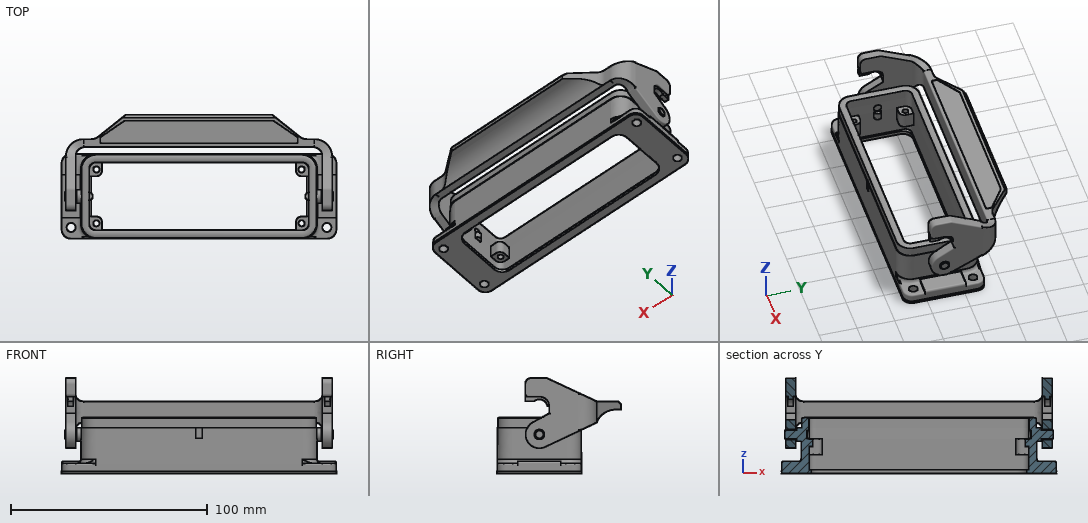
import cadquery as cq
import math


SIDES = (-1, 1)

footprint_length = 140.0
footprint_width = 43.2
flange_height = 5.2
flange_corner_radius = 4.8
flange_edge_radius = 0.85
lip_height = 1.3
lip_width = 0.1
flange_length = footprint_length - 2 * lip_width
flange_width = footprint_width - 2 * lip_width
mount_hole_diameter = 4.5
mount_hole_x = 65.05
mount_hole_y = 15.8
pad_height = 6.4
pad_width = 21.8
pad_edge_radius = 1.15

wall_length = 120.3
wall_draft = 0.5
wall_width = flange_width
wall_corner_radius = 7.6
step_z = 23.2
step_inset = 0.25
rim_z = 28.7
crown_height = 0.5
rim_thickness = 3.8
cove_radius = 2.1
rim_inset = step_inset + (step_z - flange_height) * math.tan(math.radians(wall_draft))
rim_length = wall_length - 2 * rim_inset
rim_width = wall_width - 2 * rim_inset
rim_corner_radius = wall_corner_radius - rim_inset
crown_base_z = rim_z - crown_height

cavity_length = rim_length - 2 * rim_thickness
cavity_width = rim_width - 2 * rim_thickness
cavity_corner_radius = rim_corner_radius - rim_thickness
floor_ledge_z = 2.0
cavity_draft = 1.5
opening_length = 109.4
opening_width = 34.0
opening_corner_radius = 5.5

boss_top_z = 17.6
boss_height = 8.0
boss_inner_x = 49.3
boss_inner_y = 10.2
boss_corner_radius = 2.9
boss_hole_diameter = 3.0
boss_hole_x = 52.2
boss_hole_y = 13.7
tab_diameter = 4.0
tab_height = 3.9
front_slot_width = 3.2
front_slot_height = 5.1
front_slot_depth = 1.0

pivot_z = 19.9
pin_shoulder_diameter = 7.0
pin_shoulder_end_x = 62.3
pin_diameter = 4.8
pin_end_x = 68.35
pin_chamfer = 0.4
pin_recess_diameter = 4.0
pin_recess_depth = 1.0

arm_outer_x = 67.9
arm_thickness = 5.2
arm_inner_x = arm_outer_x - arm_thickness
arm_edge_radius = 0.7
pivot_hole_diameter = 5.1
pivot_end_radius = 7.0
lever_top_z = 48.7
lever_top_back_y = 3.7
lever_top_bend_radius = 2.5
hook_front_y = -7.25
hook_bottom_z = 39.1
hook_top_radius = 3.2
hook_bottom_radius = 1.6
notch_back_y = 5.0
notch_low_z = 30.7
notch_radius = 4.8

tooth_width = 2.8
tooth_bottom_z = 36.7
tooth_arc_radius = 4.1
tooth_arc_z = 33.6

bar_outer_y = 29.2
bar_thickness = 4.15
bar_inner_y = bar_outer_y - bar_thickness
bar_top_z = 36.8
bar_bottom_z = 25.9
bar_edge_radius = 0.6
bend_center_y = 19.95
bend_outer_radius = bar_outer_y - bend_center_y
bend_center_x = arm_outer_x - bend_outer_radius
bend_section_count = 5

handle_tip_y = 41.61
handle_tip_half = 37.2
handle_root_half = 52.7
handle_root_radius = 6.0
handle_tip_bottom_z = 32.5
handle_tip_chamfer = 1.5
handle_arc_start_y = 38.2
handle_arc_mid = (33.6, 31.1)
handle_arc_end = (30.0, 27.6)
panel_depth = 0.3
panel_root_half = 50.3
panel_root_y = 27.0
panel_bend_y = 30.0
panel_tip_half = 38.0
panel_tip_y = 38.4
panel_corner_radius = 0.8


def rounded_block(length, width, radius, z_low, z_high):
    """Upright block with rounded corners, centred on the Z axis."""
    block = cq.Workplane("XY").workplane(offset=z_low).rect(length, width).extrude(z_high - z_low)
    return block.edges("|Z").fillet(radius)


def drafted_block(length, width, radius, z_start, height, draft):
    """Rounded block that narrows by the draft angle away from its start; negative height goes down."""
    outline = cq.Sketch().rect(length, width).vertices().fillet(radius)
    return cq.Workplane("XY", origin=(0, 0, z_start)).placeSketch(outline).extrude(height, taper=draft)


def box_between(x_range, y_range, z_range):
    """Box given by its limits on each axis."""
    size = [abs(high - low) for low, high in (x_range, y_range, z_range)]
    corner = [min(limits) for limits in (x_range, y_range, z_range)]
    return cq.Workplane("XY").box(*size, centered=False).translate(tuple(corner))


def x_cylinder(diameter, x_start, x_end, z):
    """Cylinder along X at Y = 0."""
    return cq.Workplane("YZ", origin=(x_start, 0, z)).circle(diameter / 2).extrude(x_end - x_start)


def rounded_path(length, width, radius, z):
    """Rounded rectangle wire that starts at the middle of its -Y side."""
    x = length / 2
    y = width / 2
    diagonal = radius * (1 - math.sqrt(0.5))
    path = cq.Workplane("XY", origin=(0, 0, z)).moveTo(0, -y).lineTo(x - radius, -y)
    path = path.threePointArc((x - diagonal, -y + diagonal), (x, -y + radius)).lineTo(x, y - radius)
    path = path.threePointArc((x - diagonal, y - diagonal), (x - radius, y)).lineTo(-x + radius, y)
    path = path.threePointArc((-x + diagonal, y - diagonal), (-x, y - radius)).lineTo(-x, -y + radius)
    return path.threePointArc((-x + diagonal, -y + diagonal), (-x + radius, -y)).close()


def make_flange():
    """Mounting plate, rounded along its top edge except where the straight wall stands flush."""
    plate = rounded_block(flange_length, flange_width, flange_corner_radius, 0, flange_height)
    plate = plate.faces(">Z").edges().fillet(flange_edge_radius)
    square_edge_length = wall_length - 2 * wall_corner_radius
    square_edge_strip = cq.Workplane("XY").rect(square_edge_length, flange_width).extrude(flange_height)
    lip = rounded_block(footprint_length, footprint_width, flange_corner_radius + lip_width, 0, lip_height)
    pad = cq.Workplane("XY").rect(flange_length, pad_width).extrude(pad_height)
    pad = pad.edges("|Y and >Z").fillet(pad_edge_radius)
    return plate.union(square_edge_strip).union(lip).union(pad)


def make_wall():
    """Wall that narrows with a slight draft up to a step below the rim."""
    wall_height = step_z - flange_height
    lower = drafted_block(wall_length, wall_width, wall_corner_radius, flange_height, wall_height, wall_draft)
    upper = rounded_block(rim_length, rim_width, rim_corner_radius, 0, crown_base_z)
    return lower.union(upper)


def make_crown():
    """Rounded top of the rim: a flat circular segment carried around the wall."""
    middle_y = -(rim_width - rim_thickness) / 2
    segment = cq.Workplane("YZ").moveTo(middle_y - rim_thickness / 2, crown_base_z)
    segment = segment.threePointArc((middle_y, rim_z), (middle_y + rim_thickness / 2, crown_base_z)).close()
    path = rounded_path(
        rim_length - rim_thickness,
        rim_width - rim_thickness,
        rim_corner_radius - rim_thickness / 2,
        crown_base_z,
    )
    return segment.sweep(path)


def make_cove():
    """Concave fillet between the wall ends and the flange, kept inside the flange width."""
    length = wall_length + 2 * cove_radius
    width = wall_width + 2 * cove_radius
    radius = wall_corner_radius + cove_radius
    top_z = flange_height + cove_radius
    ring = rounded_block(length, width, radius, flange_height, top_z)
    rounding = cq.Workplane("YZ").center(-width / 2, top_z).circle(cove_radius)
    rounding = rounding.sweep(rounded_path(length, width, radius, top_z))
    flange_limit = rounded_block(
        flange_length, flange_width, flange_corner_radius, flange_height, top_z
    )
    straight_wall = cq.Workplane("XY").rect(wall_length - 2 * wall_corner_radius, 2 * width).extrude(top_z)
    return ring.cut(rounding).intersect(flange_limit).cut(straight_wall)


def make_cavity():
    """Through pocket: straight rim, drafted band down to the boss tops, straight base, floor ledge."""
    rim_pocket = rounded_block(cavity_length, cavity_width, cavity_corner_radius, step_z, rim_z)
    band = drafted_block(
        cavity_length, cavity_width, cavity_corner_radius, step_z, boss_top_z - step_z, cavity_draft
    )
    narrowing = (step_z - boss_top_z) * math.tan(math.radians(cavity_draft))
    base_pocket = rounded_block(
        cavity_length - 2 * narrowing,
        cavity_width - 2 * narrowing,
        cavity_corner_radius - narrowing,
        floor_ledge_z,
        boss_top_z,
    )
    opening = rounded_block(opening_length, opening_width, opening_corner_radius, 0, rim_z)
    return rim_pocket.union(band).union(base_pocket).union(opening)


def make_screw_boss(side_x, side_y):
    """Drilled boss in one corner of the cavity, reaching into both walls."""
    x_range = (side_x * boss_inner_x, side_x * (cavity_length + rim_thickness) / 2)
    y_range = (side_y * boss_inner_y, side_y * (cavity_width + rim_thickness) / 2)
    boss = box_between(x_range, y_range, (boss_top_z - boss_height, boss_top_z))
    inner_corner = cq.selectors.NearestToPointSelector(
        (x_range[0], y_range[0], boss_top_z - boss_height / 2)
    )
    boss = boss.edges(inner_corner).fillet(boss_corner_radius)
    wall_limit = rounded_block(wall_length, wall_width, wall_corner_radius, 0, boss_top_z)
    hole = cq.Workplane("XY").center(side_x * boss_hole_x, side_y * boss_hole_y)
    return boss.intersect(wall_limit).cut(hole.circle(boss_hole_diameter / 2).extrude(boss_top_z))


def make_end_tab(side_x):
    """Half-round tab on the inside of an end wall, below the pivot."""
    tab = cq.Workplane("XY", origin=(side_x * cavity_length / 2, 0, boss_top_z - tab_height))
    return tab.circle(tab_diameter / 2).extrude(tab_height)


def make_pin(side_x):
    """Pivot pin with a shoulder that keeps the lever arm off the wall."""
    inside_wall_x = (cavity_length + rim_thickness) / 2
    root_x = side_x * inside_wall_x
    shoulder = x_cylinder(pin_shoulder_diameter, root_x, side_x * pin_shoulder_end_x, pivot_z)
    pin = x_cylinder(pin_diameter, root_x, side_x * pin_end_x, pivot_z)
    tip_face = ">X" if side_x > 0 else "<X"
    pin = pin.faces(tip_face).edges().chamfer(pin_chamfer)
    return shoulder.union(pin)


def make_housing():
    """Flanged frame with its screw bosses, end tabs and pivot pins."""
    housing = make_flange().union(make_cove()).union(make_wall()).cut(make_cavity()).union(make_crown())
    for side_x in SIDES:
        for side_y in SIDES:
            housing = housing.union(make_screw_boss(side_x, side_y))
        housing = housing.union(make_end_tab(side_x)).union(make_pin(side_x))
        inner_face_x = side_x * cavity_length / 2
        recess_end_x = inner_face_x + side_x * pin_recess_depth
        housing = housing.cut(x_cylinder(pin_recess_diameter, inner_face_x, recess_end_x, pivot_z))
    mount_holes = cq.Workplane("XY").rect(2 * mount_hole_x, 2 * mount_hole_y, forConstruction=True)
    housing = housing.cut(mount_holes.vertices().circle(mount_hole_diameter / 2).extrude(pad_height))
    front_slot = box_between(
        (-front_slot_width / 2, front_slot_width / 2),
        (-wall_width / 2, -wall_width / 2 + front_slot_depth),
        (step_z - front_slot_height, step_z),
    )
    return housing.cut(front_slot)


def tangent_angle(y, z, turn):
    """Angle on the round pivot end where the line from (y, z) touches it; turn picks the side."""
    distance = math.hypot(y, z - pivot_z)
    return math.atan2(z - pivot_z, y) + turn * math.acos(pivot_end_radius / distance)


def pivot_end_point(angle):
    """(Y, Z) point on the round pivot end."""
    return (pivot_end_radius * math.cos(angle), pivot_z + pivot_end_radius * math.sin(angle))


upper_tangent_angle = tangent_angle(notch_back_y, notch_low_z, 1)
lower_tangent_angle = tangent_angle(bar_outer_y, bar_bottom_z, -1) + 2 * math.pi
upper_tangent = pivot_end_point(upper_tangent_angle)
lower_tangent = pivot_end_point(lower_tangent_angle)


def height_on_line(y, start, end):
    """Z of the line through two (Y, Z) points."""
    return start[1] + (end[1] - start[1]) * (y - start[0]) / (end[0] - start[0])


def lever_top(y):
    """Height of the lever's sloping top edge."""
    return height_on_line(y, (lever_top_back_y, lever_top_z), (bar_outer_y, bar_top_z))


def lever_bottom(y):
    """Height of the lever's sloping bottom edge."""
    return height_on_line(y, lower_tangent, (bar_outer_y, bar_bottom_z))


def make_arm(side_x):
    """Side plate with the hook above the notch and the round pivot end below it."""
    arc_offset = notch_radius * (1 - math.sqrt(0.5))
    pivot_end_middle = pivot_end_point((upper_tangent_angle + lower_tangent_angle) / 2)
    outline = (
        cq.Workplane("YZ", origin=(arm_inner_x, 0, 0))
        .moveTo(bend_center_y, lever_top(bend_center_y))
        .lineTo(lever_top_back_y, lever_top_z)
        .lineTo(hook_front_y + hook_top_radius, lever_top_z)
        .radiusArc((hook_front_y, lever_top_z - hook_top_radius), -hook_top_radius)
        .lineTo(hook_front_y, hook_bottom_z + hook_bottom_radius)
        .radiusArc((hook_front_y + hook_bottom_radius, hook_bottom_z), -hook_bottom_radius)
        .lineTo(notch_back_y - notch_radius, hook_bottom_z)
        .threePointArc(
            (notch_back_y - arc_offset, hook_bottom_z - arc_offset),
            (notch_back_y, hook_bottom_z - notch_radius),
        )
        .lineTo(notch_back_y, notch_low_z)
        .lineTo(*upper_tangent)
        .threePointArc(pivot_end_middle, lower_tangent)
        .lineTo(bend_center_y, lever_bottom(bend_center_y))
        .close()
    )
    arm = outline.extrude(arm_thickness)
    top_bend = cq.selectors.NearestToPointSelector((arm_outer_x, lever_top_back_y, lever_top_z))
    arm = arm.edges("|X").edges(top_bend).fillet(lever_top_bend_radius)
    arm = arm.faces(">X").edges("not >Y").fillet(arm_edge_radius)
    arm = arm.union(make_tooth())
    arm = arm.cut(x_cylinder(pivot_hole_diameter, arm_inner_x, arm_outer_x, pivot_z))
    return arm if side_x > 0 else arm.mirror("YZ")


def make_tooth():
    """Narrow rib under the hook, with a round seat above the pivot."""
    tooth_x = (arm_inner_x + arm_outer_x - tooth_width) / 2
    tooth = box_between(
        (tooth_x, tooth_x + tooth_width),
        (hook_front_y, notch_back_y),
        (tooth_bottom_z, hook_bottom_z),
    )
    back_fill = box_between(
        (tooth_x, tooth_x + tooth_width),
        (0, notch_back_y),
        (hook_bottom_z - notch_radius, hook_bottom_z),
    )
    return tooth.union(back_fill).cut(x_cylinder(2 * tooth_arc_radius, 0, arm_outer_x, tooth_arc_z))


def bend_section(angle):
    """Upright rectangle across the bend; it thins evenly from the arm to the bar."""
    share = angle / (math.pi / 2)
    inner_radius = bend_outer_radius - arm_thickness + share * (arm_thickness - bar_thickness)
    outer_y = bend_center_y + bend_outer_radius * math.sin(angle)
    corners = []
    for radius, z in (
        (inner_radius, lever_bottom(outer_y)),
        (bend_outer_radius, lever_bottom(outer_y)),
        (bend_outer_radius, lever_top(outer_y)),
        (inner_radius, lever_top(outer_y)),
    ):
        x = bend_center_x + radius * math.cos(angle)
        y = bend_center_y + radius * math.sin(angle)
        corners.append(cq.Vector(x, y, z))
    return cq.Wire.makePolygon(corners, close=True)


def make_bend(side_x):
    """Quarter turn between an arm and the bar whose top and bottom follow the slopes."""
    step = math.pi / 2 / (bend_section_count - 1)
    sections = [bend_section(index * step) for index in range(bend_section_count)]
    bend = cq.Workplane(cq.Solid.makeLoft(sections))
    return bend if side_x > 0 else bend.mirror("YZ")


def make_bar():
    """Straight cross bar between the two bends."""
    bar = box_between(
        (-bend_center_x, bend_center_x), (bar_inner_y, bar_outer_y), (bar_bottom_z, bar_top_z)
    )
    return bar.edges("|X and >Z and <Y").fillet(bar_edge_radius)


def make_handle():
    """Finger grip behind the bar: a tapering plate with a hollowed underside."""
    side_profile = (
        cq.Workplane("YZ", origin=(-handle_root_half - handle_root_radius, 0, 0))
        .moveTo(bar_outer_y - bar_thickness / 2, bar_top_z)
        .lineTo(handle_tip_y - handle_tip_chamfer, bar_top_z)
        .lineTo(handle_tip_y, bar_top_z - handle_tip_chamfer)
        .lineTo(handle_tip_y, handle_tip_bottom_z)
        .lineTo(handle_arc_start_y, handle_tip_bottom_z)
        .threePointArc(handle_arc_mid, handle_arc_end)
        .lineTo(bar_outer_y, bar_bottom_z)
        .lineTo(bar_outer_y - bar_thickness / 2, bar_bottom_z)
        .close()
        .extrude(2 * (handle_root_half + handle_root_radius))
    )
    root_half = handle_root_half + handle_root_radius
    plan = (
        cq.Workplane("XY")
        .moveTo(-root_half, bar_inner_y)
        .lineTo(-root_half, bar_outer_y)
        .lineTo(-handle_root_half, bar_outer_y)
        .lineTo(-handle_tip_half, handle_tip_y)
        .lineTo(handle_tip_half, handle_tip_y)
        .lineTo(handle_root_half, bar_outer_y)
        .lineTo(root_half, bar_outer_y)
        .lineTo(root_half, bar_inner_y)
        .close()
        .extrude(lever_top_z)
    )
    for side_x in SIDES:
        root_point = (side_x * handle_root_half, bar_outer_y, lever_top_z / 2)
        root_edge = cq.selectors.NearestToPointSelector(root_point)
        plan = plan.edges(root_edge).fillet(handle_root_radius)
    return side_profile.intersect(plan)


def make_panel():
    """Shallow recess in the top of the handle."""
    points = [
        (panel_root_half, panel_root_y),
        (panel_root_half, panel_bend_y),
        (panel_tip_half, panel_tip_y),
    ]
    points += [(-x, y) for x, y in reversed(points)]
    panel = cq.Workplane("XY", origin=(0, 0, bar_top_z - panel_depth)).polyline(points).close()
    return panel.extrude(panel_depth).edges("|Z").fillet(panel_corner_radius)


def make_lever():
    """Locking lever: bar with handle, and a bend and a hooked arm at each end."""
    lever = make_bar().union(make_handle()).cut(make_panel())
    for side_x in SIDES:
        lever = lever.union(make_bend(side_x)).union(make_arm(side_x))
    return lever


housing = make_housing()
lever = make_lever()
result = cq.Compound.makeCompound([housing.val(), lever.val()])